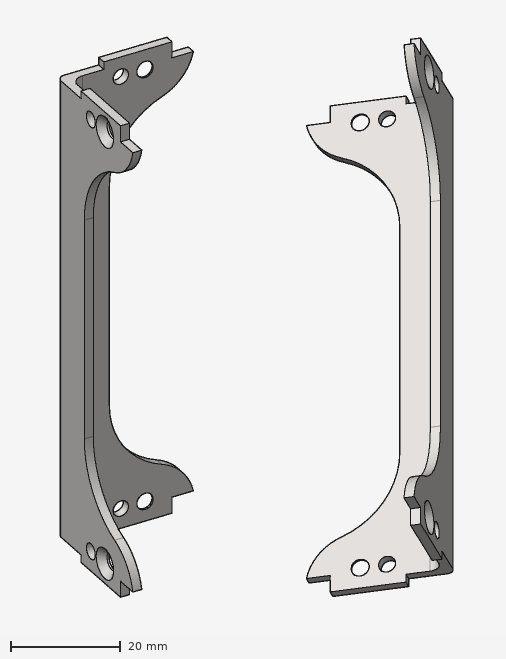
import cadquery as cq
import math

height = 99.8
leg_length = 27.6
thickness = 1.9
inner_bend_radius = 2.4
outer_bend_radius = 1.6

corner_step = 1.6
tab_start = 8.8
tab_end = 23.2
tip_step = 3.4

waist_width = 10.0
waist_arc_radius = 16.8
waist_arc_start = 26.7
waist_arc_sweep = 70.0

hole_inset = 4.2
plain_hole_offset = 12.4
plain_hole_diameter = 3.2
screw_hole_offset = 17.5
screw_hole_diameter = 3.4
countersink_diameter = 6.3
countersink_angle = 90.0


def angle_section():
    """L-shaped bar with a rounded bend, standing on Z = 0."""
    return (
        cq.Workplane("XY")
        .polyline([
            (0, 0),
            (leg_length, 0),
            (leg_length, thickness),
            (thickness, thickness),
            (thickness, leg_length),
            (0, leg_length),
        ])
        .close()
        .extrude(height)
        .edges(cq.selectors.NearestToPointSelector((0, 0, height / 2)))
        .fillet(outer_bend_radius)
        .edges(cq.selectors.NearestToPointSelector((thickness, thickness, height / 2)))
        .fillet(inner_bend_radius)
    )


def waist_arc_point(sweep):
    """Point on the waist arc of the lower end, after turning by sweep degrees from the waist."""
    angle = math.radians(sweep)
    across = waist_width + waist_arc_radius * (1 - math.cos(angle))
    up = waist_arc_start - waist_arc_radius * math.sin(angle)
    return across, up


def tip_arc_middle(joint, tip):
    """Middle of the arc that leaves the waist arc tangentially at joint and ends at tip."""
    angle = math.radians(waist_arc_sweep)
    normal = (-math.cos(angle), -math.sin(angle))
    chord = (tip[0] - joint[0], tip[1] - joint[1])
    chord_length = math.hypot(*chord)
    inward = chord[0] * normal[0] + chord[1] * normal[1]
    radius = chord_length**2 / (2 * inward)
    sagitta = radius - math.sqrt(radius**2 - (chord_length / 2) ** 2)
    across = (joint[0] + tip[0]) / 2 - sagitta * chord[1] / chord_length
    up = (joint[1] + tip[1]) / 2 + sagitta * chord[0] / chord_length
    return across, up


def half_leg():
    """Lower half of the leg in the XZ plane, as a prism covering the depth of the whole part."""
    joint = waist_arc_point(waist_arc_sweep)
    tip = (leg_length, tip_step)
    return (
        cq.Workplane("XZ", origin=(0, leg_length, 0))
        .moveTo(0, corner_step)
        .lineTo(tab_start, corner_step)
        .lineTo(tab_start, 0)
        .lineTo(tab_end, 0)
        .lineTo(tab_end, tip_step)
        .lineTo(*tip)
        .threePointArc(tip_arc_middle(joint, tip), joint)
        .threePointArc(waist_arc_point(waist_arc_sweep / 2), waist_arc_point(0))
        .lineTo(waist_width, height / 2)
        .lineTo(0, height / 2)
        .close()
        .extrude(leg_length)
    )


def mirror_ends(half):
    """Join a lower half with its mirror image about the middle of the height."""
    return half.union(half.mirror("XY", (0, 0, height / 2)))


def mirror_legs(shape):
    """Swap X and Y by mirroring about the plane X = Y."""
    return shape.mirror(cq.Vector(1, -1, 0), (0, 0, 0))


def leg_region():
    """Outlined volume of the XZ leg, limited to the leg and its bend."""
    bend_size = thickness + inner_bend_radius
    leg_slab = cq.Workplane("XY").box(leg_length, bend_size, height, centered=False)
    return mirror_ends(half_leg()).intersect(leg_slab)


def drill_leg(body):
    """Drill both ends of the XZ leg, countersinking the screw holes on the outer face."""
    hole_heights = (hole_inset, height - hole_inset)
    outer_face = cq.Workplane("XZ")
    plain_holes = (
        outer_face.pushPoints([(plain_hole_offset, z) for z in hole_heights])
        .circle(plain_hole_diameter / 2)
        .extrude(-thickness)
    )
    screw_holes = (
        outer_face.pushPoints([(screw_hole_offset, z) for z in hole_heights])
        .circle(screw_hole_diameter / 2)
        .extrude(-thickness)
    )
    body = body.cut(plain_holes).cut(screw_holes)

    half_angle = math.radians(countersink_angle / 2)
    cone_depth = (countersink_diameter - screw_hole_diameter) / 2 / math.tan(half_angle)
    for z in hole_heights:
        cone = cq.Solid.makeCone(
            countersink_diameter / 2,
            screw_hole_diameter / 2,
            cone_depth,
            cq.Vector(screw_hole_offset, 0, z),
            cq.Vector(0, 1, 0),
        )
        body = body.cut(cq.Workplane(cone))
    return body


first_leg = leg_region()
body = angle_section().intersect(first_leg.union(mirror_legs(first_leg)))
body = drill_leg(body)
result = drill_leg(mirror_legs(body))